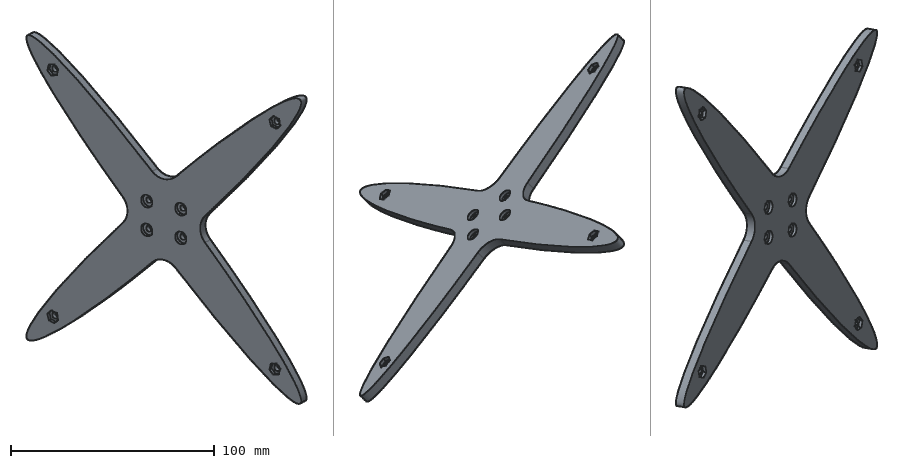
import cadquery as cq
import math

span = 161.0
thickness = 5.0
front_y = -thickness / 2

half_width = 12.4
half_length = math.sqrt(span**2 / 2 - half_width**2)
arm_angle = 45
crotch_radius = 10.0

hub_hole_diameter = 3.0
hub_hole_x = 10.0
hub_hole_z = 7.5
head_diameter = 6.6
recess_depth = 2.0

tip_hole_diameter = 3.2
tip_hole_offset = 65.0
tip_hole_radius_from_center = math.hypot(tip_hole_offset, tip_hole_offset)
nut_corner_diameter = 6.6


def arm_pair(angle):
    """Elliptical plate centred on the origin and turned about Y."""
    return (
        cq.Workplane("XZ", origin=(0, thickness / 2, 0))
        .ellipse(half_length, half_width)
        .extrude(thickness)
        .rotate((0, 0, 0), (0, 1, 0), angle)
    )


def crossed_arms():
    """Two arm pairs joined, with the four inner corners rounded."""
    plate = arm_pair(arm_angle).union(arm_pair(-arm_angle))
    reach = 2 * half_width
    corner_zone = cq.selectors.BoxSelector(
        (-reach, -thickness / 4, -reach),
        (reach, thickness / 4, reach),
    )
    return plate.edges(corner_zone).fillet(crotch_radius)


def add_hub_holes(body):
    """Four counterbored through holes on a rectangle about the centre."""
    return (
        body.faces("<Y")
        .workplane(origin=(0, front_y, 0))
        .rect(2 * hub_hole_x, 2 * hub_hole_z, forConstruction=True)
        .vertices()
        .cboreHole(hub_hole_diameter, head_diameter, recess_depth)
    )


def tip_hole_cutter(angle):
    """Through hole and nut pocket, with two hexagon corners on the arm axis."""
    front = cq.Workplane("XZ", origin=(0, front_y, 0)).center(tip_hole_radius_from_center, 0)
    hole = front.circle(tip_hole_diameter / 2).extrude(-thickness)
    pocket = front.polygon(6, nut_corner_diameter).extrude(-recess_depth)
    return hole.union(pocket).rotate((0, 0, 0), (0, 1, 0), angle)


result = add_hub_holes(crossed_arms())
for quarter in range(4):
    result = result.cut(tip_hole_cutter(arm_angle + 90 * quarter))